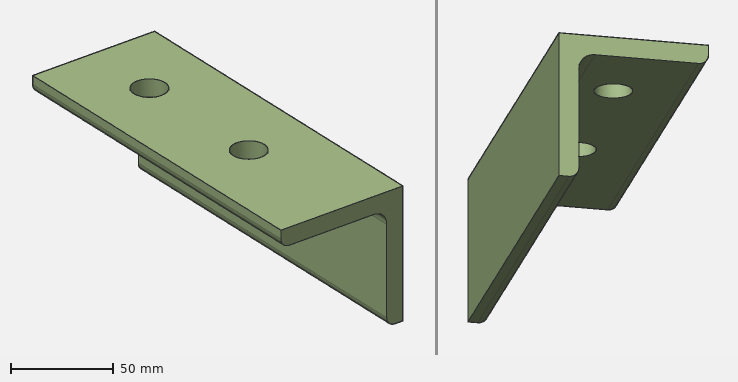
import cadquery as cq

length = 200.0
leg = 75.0
thickness = 10.0
root_radius = 8.0
toe_radius = 5.0

hole_diameter = 19.0
first_hole_x = 45.0
hole_pitch = 80.0
hole_count = 2
hole_y = -leg / 2


def angle_bar():
    """Angle with its outer corner along the X axis, legs toward -Y and -Z."""
    horizontal = cq.Workplane("XY").box(length, leg, thickness, centered=False)
    horizontal = horizontal.translate((0, -leg, -thickness))
    vertical = cq.Workplane("XY").box(length, thickness, leg, centered=False)
    vertical = vertical.translate((0, -thickness, -leg))
    bar = horizontal.union(vertical)

    def inner_edge(y, z):
        return cq.selectors.NearestToPointSelector((length / 2, y, z))

    bar = bar.edges(inner_edge(-thickness, -thickness)).fillet(root_radius)
    bar = bar.edges(inner_edge(-leg, -thickness)).fillet(toe_radius)
    return bar.edges(inner_edge(-thickness, -leg)).fillet(toe_radius)


def hole_cutters():
    """Vertical cylinders spanning the thickness of the horizontal leg."""
    centres = [(first_hole_x + i * hole_pitch, hole_y) for i in range(hole_count)]
    cutters = cq.Workplane("XY").pushPoints(centres).circle(hole_diameter / 2)
    return cutters.extrude(-thickness)


result = angle_bar().cut(hole_cutters())